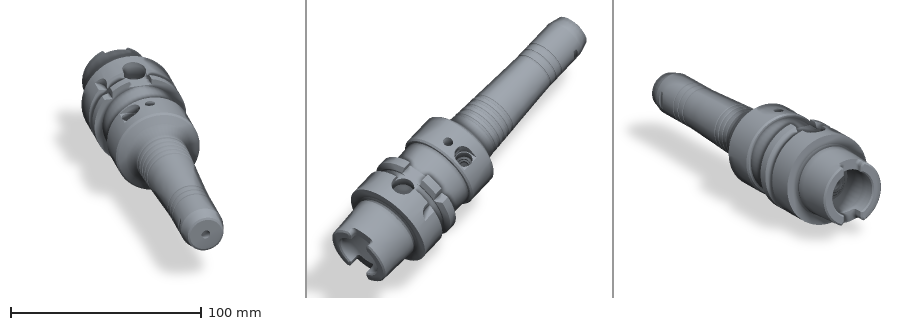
import cadquery as cq
import math

TOTAL_LENGTH = 180.0

SHANK_END_RADIUS = 17.1
SHANK_START_RADIUS = 18.0
SHANK_CHAMFER = 0.81
SHANK_LENGTH = 22.9
SHANK_GAUGE_RADIUS = 19.0
RELIEF_RADIUS = 18.4
RELIEF_START = 23.2
RELIEF_END = 24.5
RELIEF_OUTER_RADIUS = 19.8

FLANGE_START = 25.0
FLANGE_END = 51.0
FLANGE_RADIUS = 25.0
GROOVE_START = 40.9
GROOVE_END = 44.5
GROOVE_RADIUS = 21.5
GROOVE_WALL = 0.9
GROOVE_FLANK_LEFT = 1.3
GROOVE_FLANK_RIGHT = 1.8

NECK_RADIUS = 20.7
COLLAR_START = 66.8
COLLAR_END = 86.2
COLLAR_RADIUS = 22.9
COLLAR_CHAMFER_LENGTH = 1.0
COLLAR_CHAMFER_DEPTH = 0.7

SHOULDER_ANGLE = math.radians(58)
SHOULDER_ARC_END = 95.0
SHOULDER_ARC_RADIUS = 8.0
ARM_START_RADIUS = 14.2
ARM_TAPER_END = 146.2
NOSE_RADIUS = 11.5
NOSE_CONE_START = 172.6
NOSE_END_RADIUS = 9.7
NOSE_EDGE_LENGTH = 0.5
NOSE_FACE_RADIUS = 8.6

RING_DEPTH = 0.27
ARM_RING_START = 96.0
ARM_RING_PITCH = 4.0
ARM_RING_WIDTH = 2.0
ARM_RING_WALL_RUN = 0.27
ARM_RING_COUNT = 5
NOSE_RING_START = ARM_TAPER_END
NOSE_RING_PITCH = 4.7
NOSE_RING_WIDTH = 1.0
NOSE_RING_WALL_RUN = 0.09
NOSE_RING_COUNT = 3

BORE_MOUTH_RADIUS = 13.1
BORE_MOUTH_CHAMFER = 0.7
BORE_RADIUS = BORE_MOUTH_RADIUS - BORE_MOUTH_CHAMFER
BORE_STRAIGHT = 9.9
BORE_DEPTH = 23.4
BORE_FLOOR_RADIUS = 11.5
NUT_DIAMETER = 16.0
NUT_RADIUS = NUT_DIAMETER / 2
NUT_TOP = 19.8
TUBE_RADIUS = 5.0
TUBE_TOP = 17.1
COOLANT_RADIUS = 2.3
INNER_CHAMFER = 0.5

DRIVE_HALF_WIDTH = 5.2
DRIVE_FLARE_HALF_WIDTH = 8.1
DRIVE_FLARE_START = 13.9
DRIVE_DEPTH_TOP = 4.3
DRIVE_DEPTH_BOTTOM = 7.0
DRIVE_FLOOR_FILLET = 1.5
DRIVE_CHAMFER_WIDTH = 1.0
DRIVE_CHAMFER_DEPTH = 0.7

KEY_WIDTH = 12.0
KEY_CENTER = 37.6
KEY_FLOOR = 21.0
KEY_POCKET_FLOOR = 15.1
NOTCH_WALL = 15.3
NOTCH_FLOOR = 15.5

SCREW_X = 74.0
SCREW_Y = -11.9
SCREW_FLOOR = 16.0
SCREW_POCKET_WIDTH = 10.0
SCREW_HOLE_DIAMETER = 9.0
SCREW_HOLE_DEPTH = 4.5
SCREW_SEAT_DIAMETER = 6.5
SCREW_SEAT_DEPTH = 0.9
SCREW_SOCKET_DIAMETER = 4.7
SCREW_SOCKET_DEPTH = 1.5
CROSS_HOLE_DIAMETER = 4.3
CROSS_HOLE_HEIGHT = 18.7
CROSS_HOLE_DEPTH = 0.7
VENT_DIAMETER = 5.0
VENT_Y = -1.0
VENT_DEPTH = 5.4
VENT_TILT = 20.0
DRILL_POINT_RATIO = 0.6

GRIP_CENTER = 168.5
GRIP_WIDTH = 2.0
GRIP_MOUTH_WIDTH = 3.5
GRIP_LENGTH = 9.2
GRIP_FLOOR = math.sqrt(NOSE_RADIUS**2 - (GRIP_LENGTH / 2) ** 2)

TOOL_CLEARANCE = 10.8


def revolve(sketch):
    """Close a half profile and turn it about the X axis."""
    return sketch.close().revolve(360, (0, 0, 0), (1, 0, 0))


def turned_body():
    """Outer profile of the holder, revolved about X."""
    arm_slope = math.atan((ARM_START_RADIUS - NOSE_RADIUS) / (ARM_TAPER_END - SHOULDER_ARC_END))
    arc_x = SHOULDER_ARC_END + SHOULDER_ARC_RADIUS * math.sin(arm_slope)
    arc_r = ARM_START_RADIUS + SHOULDER_ARC_RADIUS * math.cos(arm_slope)

    def arc_point(angle):
        return (arc_x - SHOULDER_ARC_RADIUS * math.sin(angle), arc_r - SHOULDER_ARC_RADIUS * math.cos(angle))

    cone_foot = arc_point(SHOULDER_ANGLE)
    cone_top_radius = cone_foot[1] + (cone_foot[0] - COLLAR_END) * math.tan(SHOULDER_ANGLE)

    sketch = (
        cq.Workplane("XY")
        .moveTo(0, 0)
        .lineTo(0, SHANK_END_RADIUS)
        .lineTo(SHANK_CHAMFER, SHANK_START_RADIUS)
        .lineTo(SHANK_LENGTH, SHANK_GAUGE_RADIUS)
        .lineTo(RELIEF_START, RELIEF_RADIUS)
        .lineTo(RELIEF_END, RELIEF_RADIUS)
        .lineTo(FLANGE_START, RELIEF_OUTER_RADIUS)
        .lineTo(FLANGE_START, FLANGE_RADIUS)
        .lineTo(GROOVE_START - GROOVE_FLANK_LEFT, FLANGE_RADIUS)
        .lineTo(GROOVE_START, GROOVE_RADIUS + GROOVE_WALL)
        .lineTo(GROOVE_START, GROOVE_RADIUS)
        .lineTo(GROOVE_END, GROOVE_RADIUS)
        .lineTo(GROOVE_END, GROOVE_RADIUS + GROOVE_WALL)
        .lineTo(GROOVE_END + GROOVE_FLANK_RIGHT, FLANGE_RADIUS)
        .lineTo(FLANGE_END, FLANGE_RADIUS)
        .lineTo(FLANGE_END, NECK_RADIUS)
        .lineTo(COLLAR_START, NECK_RADIUS)
        .lineTo(COLLAR_START, COLLAR_RADIUS - COLLAR_CHAMFER_DEPTH)
        .lineTo(COLLAR_START + COLLAR_CHAMFER_LENGTH, COLLAR_RADIUS)
        .lineTo(COLLAR_END - COLLAR_CHAMFER_LENGTH, COLLAR_RADIUS)
        .lineTo(COLLAR_END, cone_top_radius)
        .lineTo(*cone_foot)
        .threePointArc(arc_point((SHOULDER_ANGLE + arm_slope) / 2), (SHOULDER_ARC_END, ARM_START_RADIUS))
        .lineTo(ARM_TAPER_END, NOSE_RADIUS)
        .lineTo(NOSE_CONE_START, NOSE_RADIUS)
        .lineTo(TOTAL_LENGTH - NOSE_EDGE_LENGTH, NOSE_END_RADIUS)
        .lineTo(TOTAL_LENGTH, NOSE_FACE_RADIUS)
        .lineTo(TOTAL_LENGTH, 0)
    )
    return revolve(sketch)


def arm_radius(x):
    """Outer radius of the arm at position x."""
    if x >= ARM_TAPER_END:
        return NOSE_RADIUS
    share = (x - SHOULDER_ARC_END) / (ARM_TAPER_END - SHOULDER_ARC_END)
    return ARM_START_RADIUS + share * (NOSE_RADIUS - ARM_START_RADIUS)


def ring_cutter(start, width, wall_run):
    """Shallow ring groove with sloping walls, its floor following the arm surface."""
    end = start + width
    floor_start = start + wall_run
    floor_end = end - wall_run
    sketch = (
        cq.Workplane("XY")
        .moveTo(start, arm_radius(start))
        .lineTo(floor_start, arm_radius(floor_start) - RING_DEPTH)
        .lineTo(floor_end, arm_radius(floor_end) - RING_DEPTH)
        .lineTo(end, arm_radius(end))
        .lineTo(end, arm_radius(end) + RING_DEPTH)
        .lineTo(start, arm_radius(start) + RING_DEPTH)
    )
    return revolve(sketch)


def shank_bore_cutter():
    """Hollow of the shank, leaving the coolant nut and tube standing."""
    sketch = (
        cq.Workplane("XY")
        .moveTo(0, 0)
        .lineTo(0, BORE_MOUTH_RADIUS)
        .lineTo(BORE_MOUTH_CHAMFER, BORE_RADIUS)
        .lineTo(BORE_STRAIGHT, BORE_RADIUS)
        .lineTo(BORE_DEPTH, BORE_FLOOR_RADIUS)
        .lineTo(BORE_DEPTH, NUT_RADIUS)
        .lineTo(NUT_TOP + INNER_CHAMFER, NUT_RADIUS)
        .lineTo(NUT_TOP, NUT_RADIUS - INNER_CHAMFER)
        .lineTo(NUT_TOP, TUBE_RADIUS)
        .lineTo(TUBE_TOP + INNER_CHAMFER, TUBE_RADIUS)
        .lineTo(TUBE_TOP, TUBE_RADIUS - INNER_CHAMFER)
        .lineTo(TUBE_TOP, COOLANT_RADIUS + INNER_CHAMFER)
        .lineTo(TUBE_TOP + INNER_CHAMFER, COOLANT_RADIUS)
        .lineTo(TOTAL_LENGTH, COOLANT_RADIUS)
        .lineTo(TOTAL_LENGTH, 0)
    )
    return revolve(sketch)


def drive_slot_section():
    """Section of the upper drive slot: straight walls that flare outward to the shank surface."""
    flare = DRIVE_FLARE_HALF_WIDTH - DRIVE_HALF_WIDTH
    flare_top = DRIVE_FLARE_START + flare
    bulge = flare * math.sqrt(0.5)
    mid_offset = DRIVE_FLARE_HALF_WIDTH - bulge
    mid_height = DRIVE_FLARE_START + bulge
    top = FLANGE_RADIUS
    return (
        cq.Workplane("YZ")
        .moveTo(-DRIVE_HALF_WIDTH, 0)
        .lineTo(DRIVE_HALF_WIDTH, 0)
        .lineTo(DRIVE_HALF_WIDTH, DRIVE_FLARE_START)
        .threePointArc((mid_offset, mid_height), (DRIVE_FLARE_HALF_WIDTH, flare_top))
        .lineTo(DRIVE_FLARE_HALF_WIDTH, top)
        .lineTo(-DRIVE_FLARE_HALF_WIDTH, top)
        .lineTo(-DRIVE_FLARE_HALF_WIDTH, flare_top)
        .threePointArc((-mid_offset, mid_height), (-DRIVE_HALF_WIDTH, DRIVE_FLARE_START))
        .close()
    )


def drive_slot_cutter(depth):
    """Upper drive slot with a rounded floor and a chamfered mouth."""
    slot = drive_slot_section().extrude(depth).faces(">X").edges().fillet(DRIVE_FLOOR_FILLET)
    chamfer_angle = math.degrees(math.atan(DRIVE_CHAMFER_WIDTH / DRIVE_CHAMFER_DEPTH))
    wide_section = drive_slot_section().offset2D(DRIVE_CHAMFER_WIDTH)
    mouth = wide_section.extrude(DRIVE_CHAMFER_DEPTH, taper=chamfer_angle)
    return slot.union(mouth)


def block(x_range, y_range, z_range):
    """Box spanning the given (low, high) ranges."""
    corner = (x_range[0], y_range[0], z_range[0])
    size = [high - low for low, high in (x_range, y_range, z_range)]
    return cq.Workplane("XY").box(*size, centered=False).translate(corner)


def upright_cylinder(x, y, z, diameter, height):
    return cq.Workplane("XY").circle(diameter / 2).extrude(height).translate((x, y, z))


def keyway_cutter():
    """Upper keyway: open slot to the neck side with a round end pocket."""
    half = KEY_WIDTH / 2
    slot = block((KEY_CENTER, FLANGE_END), (-half, half), (KEY_FLOOR, FLANGE_RADIUS))
    return slot.union(upright_cylinder(KEY_CENTER, 0, KEY_POCKET_FLOOR, KEY_WIDTH, TOOL_CLEARANCE))


def notch_cutter():
    """Orientation notch milled from above at the -Y, +Z side of the flange."""
    y_range = (-FLANGE_RADIUS, -NOTCH_WALL)
    notch = block((KEY_CENTER, FLANGE_END), y_range, (NOTCH_FLOOR, FLANGE_RADIUS))
    end_y = -NOTCH_WALL - KEY_WIDTH / 2
    round_end = upright_cylinder(KEY_CENTER, end_y, NOTCH_FLOOR, KEY_WIDTH, TOOL_CLEARANCE)
    return notch.union(round_end)


def pointed_hole(diameter, depth):
    """Blind drill shape going down from the origin with a conical point."""
    radius = diameter / 2
    return (
        cq.Workplane("XZ")
        .moveTo(0, TOOL_CLEARANCE)
        .lineTo(radius, TOOL_CLEARANCE)
        .lineTo(radius, -depth)
        .lineTo(0, -depth - radius * DRILL_POINT_RATIO)
        .close()
        .revolve(360, (0, 0, 0), (0, 1, 0))
    )


def screw_pocket_cutter():
    """Pocket open to -Y, with the stepped screw hole and a cross hole."""
    half = SCREW_POCKET_WIDTH / 2
    pocket = upright_cylinder(SCREW_X, SCREW_Y, SCREW_FLOOR, SCREW_POCKET_WIDTH, TOOL_CLEARANCE)
    pocket = pocket.union(
        block((SCREW_X - half, SCREW_X + half), (-COLLAR_RADIUS, SCREW_Y), (SCREW_FLOOR, COLLAR_RADIUS))
    )
    hole_floor = SCREW_FLOOR - SCREW_HOLE_DEPTH
    hole = upright_cylinder(SCREW_X, SCREW_Y, hole_floor, SCREW_HOLE_DIAMETER, SCREW_HOLE_DEPTH)
    seat_floor = hole_floor - SCREW_SEAT_DEPTH
    seat = upright_cylinder(SCREW_X, SCREW_Y, seat_floor, SCREW_SEAT_DIAMETER, SCREW_SEAT_DEPTH)
    socket = pointed_hole(SCREW_SOCKET_DIAMETER, SCREW_SOCKET_DEPTH).translate((SCREW_X, SCREW_Y, seat_floor))
    cross_hole = (
        cq.Workplane("XZ")
        .center(SCREW_X, CROSS_HOLE_HEIGHT)
        .circle(CROSS_HOLE_DIAMETER / 2)
        .extrude(-half - CROSS_HOLE_DEPTH)
        .translate((0, SCREW_Y, 0))
    )
    return pocket.union(hole).union(seat).union(socket).union(cross_hole)


def vent_cutter():
    """Tilted blind hole in the top of the collar."""
    hole = pointed_hole(VENT_DIAMETER, VENT_DEPTH).rotate((0, 0, 0), (1, 0, 0), -VENT_TILT)
    return hole.translate((SCREW_X, VENT_Y, COLLAR_RADIUS))


def grip_cutter():
    """Trapezoidal groove across the +Y side near the nose."""
    return (
        cq.Workplane("XY")
        .moveTo(GRIP_CENTER - GRIP_WIDTH / 2, GRIP_FLOOR)
        .lineTo(GRIP_CENTER + GRIP_WIDTH / 2, GRIP_FLOOR)
        .lineTo(GRIP_CENTER + GRIP_MOUTH_WIDTH / 2, NOSE_RADIUS)
        .lineTo(GRIP_CENTER - GRIP_MOUTH_WIDTH / 2, NOSE_RADIUS)
        .close()
        .extrude(NOSE_RADIUS, both=True)
    )


def half_turn(shape):
    """Copy of a shape turned to the opposite side of the X axis."""
    return shape.rotate((0, 0, 0), (1, 0, 0), 180)


result = turned_body()
for index in range(ARM_RING_COUNT):
    ring_start = ARM_RING_START + index * ARM_RING_PITCH
    result = result.cut(ring_cutter(ring_start, ARM_RING_WIDTH, ARM_RING_WALL_RUN))
for index in range(NOSE_RING_COUNT):
    ring_start = NOSE_RING_START + index * NOSE_RING_PITCH
    result = result.cut(ring_cutter(ring_start, NOSE_RING_WIDTH, NOSE_RING_WALL_RUN))
result = result.cut(shank_bore_cutter())
result = result.cut(drive_slot_cutter(DRIVE_DEPTH_TOP))
result = result.cut(half_turn(drive_slot_cutter(DRIVE_DEPTH_BOTTOM)))
for cutter in (keyway_cutter(), grip_cutter()):
    result = result.cut(cutter).cut(half_turn(cutter))
result = result.cut(notch_cutter()).cut(screw_pocket_cutter()).cut(vent_cutter())